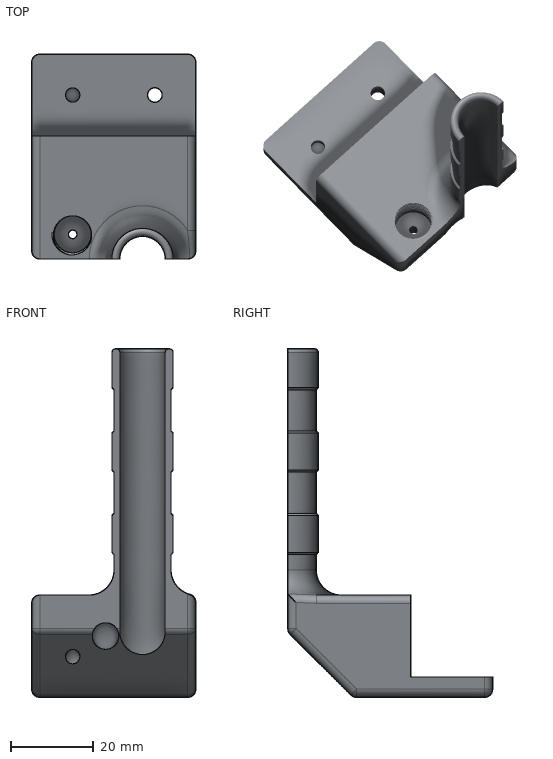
import cadquery as cq
import math

width = 40.0
depth = 50.0
total_height = 85.0
block_height = 25.0
ledge_length = 20.0
ledge_thickness = 5.0
front_bevel = 16.0
edge_radius = 2.0

tube_x = 27.0
tube_radius = 7.0
band_radius = 7.5
bore_radius = 5.5
flare_radius = width - tube_x - tube_radius
band_count = 3
band_length = 10.0
band_spacing = 2 * band_length
band_chamfer = band_radius - tube_radius

screw_diameter = 3.5
blind_screw_depth = 2.0
left_hole_x = width / 4
right_hole_x = width - left_hole_x
screw_y = depth - ledge_length / 2

port_x = left_hole_x
port_y = 6.0
port_diameter = 9.0
port_depth = 8.0
thread_diameter = 10.1
thread_pitch = 1.0
thread_groove_width = 0.85
thread_turns = 7
thread_runout = 0.5
thread_exit_angle = 260
passage_diameter = 2.0
bevel_hole_top = 13.0

socket_x = 18.0
socket_z = 15.0
socket_diameter = 6.5
socket_depth = 5.0


def cylinder(x, y, bottom, top, diameter):
    """Vertical cylinder between two heights."""
    return cq.Workplane("XY", origin=(x, y, bottom)).circle(diameter / 2).extrude(top - bottom)


def make_base():
    base = (
        cq.Workplane("YZ")
        .moveTo(front_bevel, 0)
        .lineTo(depth, 0)
        .lineTo(depth, ledge_thickness)
        .lineTo(depth - ledge_length, ledge_thickness)
        .lineTo(depth - ledge_length, block_height)
        .lineTo(0, block_height)
        .lineTo(0, front_bevel)
        .close()
        .extrude(width)
    )
    underside = base.faces("<Z").edges()
    bevel = base.faces(cq.selectors.DirectionMinMaxSelector(cq.Vector(0, -1, -1), True)).edges()
    front_corners = base.faces("<Y").edges("|Z")
    ledge_corners = base.faces(">Y").edges("|Z")
    top_sides = base.faces(">Z").edges("|Y")
    rounded = underside.add(bevel).add(front_corners).add(ledge_corners).add(top_sides)
    return rounded.fillet(edge_radius)


def make_half_tube():
    """Revolved half of the banded tube, solid, from inside the block up to its rounded rim."""
    flare_top = block_height + flare_radius
    flare_edge = tube_radius + flare_radius
    arc_step = flare_radius * math.sqrt(0.5)
    rim_radius = (band_radius - bore_radius) / 2
    rim_middle = band_radius - rim_radius

    outline = (
        cq.Workplane("XZ")
        .moveTo(0, block_height - edge_radius)
        .lineTo(flare_edge, block_height - edge_radius)
        .lineTo(flare_edge, block_height)
        .threePointArc((flare_edge - arc_step, flare_top - arc_step), (tube_radius, flare_top))
    )
    for band in reversed(range(band_count)):
        band_top = total_height - band * band_spacing
        band_bottom = band_top - band_length
        outline = outline.lineTo(tube_radius, band_bottom).lineTo(band_radius, band_bottom + band_chamfer)
        if band > 0:
            outline = outline.lineTo(band_radius, band_top - band_chamfer).lineTo(tube_radius, band_top)
    rim_base = total_height - rim_radius
    outline = (
        outline.lineTo(band_radius, rim_base)
        .threePointArc((rim_middle, total_height), (bore_radius, rim_base))
        .lineTo(0, rim_base)
        .close()
    )
    return outline.revolve(180, (0, 0), (0, 1)).translate((tube_x, 0, 0))


def make_handle():
    """Half tube on a slab of the block's top, rounded together where the flare meets the right side."""
    slab_thickness = 2 * edge_radius
    slab = cq.Workplane("XY").box(width - tube_x, depth - ledge_length, slab_thickness, centered=False)
    handle = slab.translate((tube_x, 0, block_height - slab_thickness)).union(make_half_tube())
    handle = handle.faces(">X").edges("|Y").edges(">Z").fillet(edge_radius)
    corner_x = width - edge_radius
    corner = cq.Workplane("XY").box(edge_radius, edge_radius, total_height, centered=False)
    corner = corner.translate((corner_x, 0, 0))
    corner = corner.cut(cylinder(corner_x, edge_radius, 0, total_height, 2 * edge_radius))
    return handle.cut(corner)


def make_screw_holes():
    blind = cylinder(
        left_hole_x, screw_y, ledge_thickness - blind_screw_depth, ledge_thickness, screw_diameter
    )
    through = cylinder(right_hole_x, screw_y, 0, ledge_thickness, screw_diameter)
    return blind.union(through)


def make_port():
    port_floor = block_height - port_depth
    port = cylinder(port_x, port_y, port_floor, block_height, port_diameter)
    passage = cylinder(port_x, port_y, 0, block_height, passage_diameter)
    bevel_hole = cylinder(port_x, port_y, 0, bevel_hole_top, screw_diameter)
    return port.union(passage).union(bevel_hole)


def make_thread():
    """Helical V groove cut into the wall of the port, running out through the top face."""
    overlap = 0.1
    inner_radius = port_diameter / 2 - overlap
    half_groove = thread_groove_width / 2
    length = thread_turns * thread_pitch
    profile = [(inner_radius, -half_groove), (thread_diameter / 2, 0), (inner_radius, half_groove)]
    helices = [cq.Wire.makeHelix(thread_pitch, length, radius, cq.Vector(0, 0, z)) for radius, z in profile]
    start_cap = cq.Face.makeFromWires(cq.Wire.makePolygon([cq.Vector(r, 0, z) for r, z in profile], close=True))
    faces = [start_cap, start_cap.translate(cq.Vector(0, 0, length))]
    for side in range(len(helices)):
        faces.append(cq.Face.makeRuledSurface(helices[side - 1], helices[side]))
    groove = cq.Workplane(cq.Solid.makeSolid(cq.Shell.makeShell(faces)))
    groove = groove.rotate((0, 0, 0), (0, 0, 1), thread_exit_angle + 360 * thread_runout)
    start_z = block_height + (thread_runout - thread_turns) * thread_pitch
    groove = groove.translate((port_x, port_y, start_z))
    return groove.intersect(cylinder(port_x, port_y, 0, block_height, 2 * thread_diameter))


def make_socket():
    return cq.Workplane("XZ", origin=(socket_x, 0, socket_z)).circle(socket_diameter / 2).extrude(-socket_depth)


result = make_base().union(make_handle())
result = result.cut(cylinder(tube_x, 0, 0, total_height, 2 * bore_radius))
result = result.cut(make_screw_holes()).cut(make_socket()).cut(make_port()).cut(make_thread())